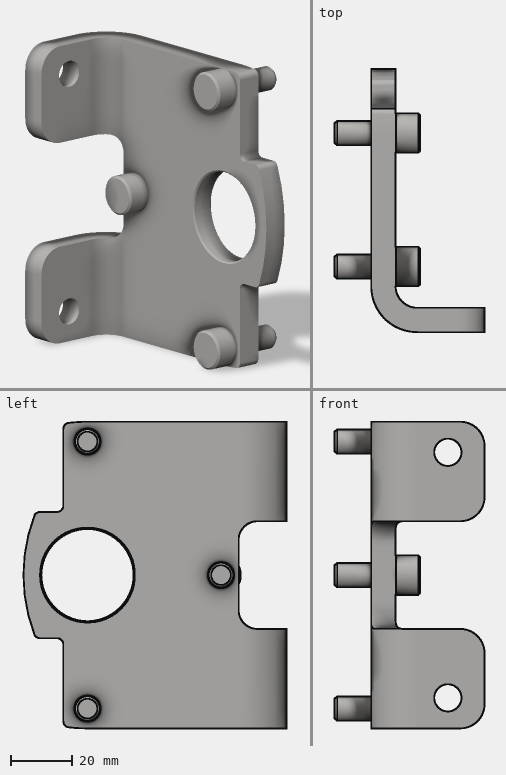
import cadquery as cq


height = 100.0
thickness = 8.0
bend_inner_radius = 7.0
bend_outer_radius = bend_inner_radius + thickness
lug_length = 37.0
plate_end_y = 72.8

bore_y = 64.9
bore_diameter = 30.0
bore_chamfer = 0.5
shoulder_radius = height / 2
tab_end_y = 85.8
tab_width = 41.2
tab_arc_radius = 54.0
plate_corner_radius = 2.0

notch_width = 35.0
notch_bottom_y = 15.6
notch_corner_radius = 6.0

lug_corner_radius = 8.0
lug_hole_diameter = 8.8
lug_hole_x = 25.0
lug_hole_z = 40.0

bolt_circle_radius = 43.5
screw_hole_diameter = 8.6
shank_diameter = 8.0
shank_protrusion = 12.0
tip_chamfer_length = 1.0
tip_chamfer_depth = 0.8
head_diameter = 13.0
head_height = 8.0
head_chamfer = 0.7
head_base_chamfer = 0.2

screw_positions = [
    (bore_y, bolt_circle_radius),
    (bore_y - bolt_circle_radius, 0),
    (bore_y, -bolt_circle_radius),
]


def make_bent_sheet():
    """L-shaped sheet, extruded over the full height."""
    return (
        cq.Workplane("XY", origin=(0, 0, -height / 2))
        .moveTo(0, tab_end_y)
        .lineTo(0, bend_outer_radius)
        .radiusArc((bend_outer_radius, 0), -bend_outer_radius)
        .lineTo(lug_length, 0)
        .lineTo(lug_length, thickness)
        .lineTo(bend_outer_radius, thickness)
        .radiusArc((thickness, bend_outer_radius), bend_inner_radius)
        .lineTo(thickness, tab_end_y)
        .close()
        .extrude(height)
    )


def corner_edges(y, z):
    """Selector for the two edges along X at (y, z) and (y, -z)."""
    reach = 0.1
    upper, lower = [
        cq.selectors.BoxSelector(
            (0, y - reach, side * z - reach), (lug_length, y + reach, side * z + reach))
        for side in (1, -1)
    ]
    return upper + lower


def make_plate_outline():
    """Prism along X that limits the far end of the plate to its shoulders and tab."""
    half_height = height / 2
    half_tab = tab_width / 2
    shoulder_rise = plate_end_y - bore_y
    shoulder_z = (shoulder_radius**2 - shoulder_rise**2) ** 0.5
    tab_centre_y = tab_end_y - tab_arc_radius
    tab_corner_y = tab_centre_y + (tab_arc_radius**2 - half_tab**2) ** 0.5
    outline = (
        cq.Workplane("YZ")
        .moveTo(0, -half_height)
        .lineTo(bore_y, -half_height)
        .radiusArc((plate_end_y, -shoulder_z), -shoulder_radius)
        .lineTo(plate_end_y, -half_tab)
        .lineTo(tab_corner_y, -half_tab)
        .threePointArc((tab_end_y, 0), (tab_corner_y, half_tab))
        .lineTo(plate_end_y, half_tab)
        .lineTo(plate_end_y, shoulder_z)
        .radiusArc((bore_y, half_height), -shoulder_radius)
        .lineTo(0, half_height)
        .close()
        .extrude(lug_length)
    )
    for corner in [(plate_end_y, half_tab), (plate_end_y, shoulder_z), (tab_corner_y, half_tab)]:
        outline = outline.edges(corner_edges(*corner)).fillet(plate_corner_radius)
    return outline


def make_notch():
    """Round-cornered slot, open towards -Y."""
    return (
        cq.Workplane("XY")
        .box(lug_length, 2 * notch_bottom_y, notch_width)
        .edges("|X and >Y")
        .fillet(notch_corner_radius)
        .translate((lug_length / 2, 0, 0))
    )


def make_bracket():
    bracket = make_bent_sheet().intersect(make_plate_outline()).cut(make_notch())
    bracket = bracket.edges("|Y and >X").fillet(lug_corner_radius)

    lug_holes = (
        cq.Workplane("XZ")
        .pushPoints([(lug_hole_x, lug_hole_z), (lug_hole_x, -lug_hole_z)])
        .circle(lug_hole_diameter / 2)
        .extrude(-thickness)
    )
    screw_holes = (
        cq.Workplane("YZ")
        .pushPoints(screw_positions)
        .circle(screw_hole_diameter / 2)
        .extrude(thickness)
    )
    bracket = bracket.cut(lug_holes).cut(screw_holes)

    rim_radius = bore_diameter / 2 + bore_chamfer
    bore = (
        cq.Workplane("XY")
        .lineTo(0, rim_radius)
        .lineTo(bore_chamfer, bore_diameter / 2)
        .lineTo(thickness - bore_chamfer, bore_diameter / 2)
        .lineTo(thickness, rim_radius)
        .lineTo(thickness, 0)
        .close()
        .revolve(360, (0, 0, 0), (1, 0, 0))
        .translate((0, bore_y, 0))
    )
    return bracket.cut(bore)


def make_screw(y, z):
    """Cap screw along X: head seated on the inner plate face, tip towards -X."""
    shank_radius = shank_diameter / 2
    head_radius = head_diameter / 2
    head_top = thickness + head_height
    return (
        cq.Workplane("XY")
        .moveTo(-shank_protrusion, 0)
        .lineTo(-shank_protrusion, shank_radius - tip_chamfer_depth)
        .lineTo(-shank_protrusion + tip_chamfer_length, shank_radius)
        .lineTo(thickness, shank_radius)
        .lineTo(thickness, head_radius - head_base_chamfer)
        .lineTo(thickness + head_base_chamfer, head_radius)
        .lineTo(head_top - head_chamfer, head_radius)
        .lineTo(head_top, head_radius - head_chamfer)
        .lineTo(head_top, 0)
        .close()
        .revolve(360, (0, 0, 0), (1, 0, 0))
        .translate((0, y, z))
    )


bracket = make_bracket()
screws = [make_screw(y, z) for y, z in screw_positions]

result = cq.Compound.makeCompound([bracket.val(), *[screw.val() for screw in screws]])